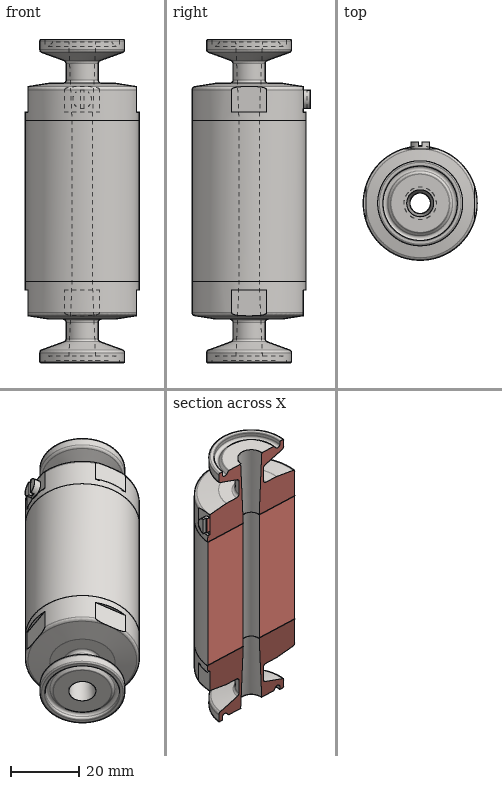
import cadquery as cq
import math

total_length = 95.1
body_radius = 33.6 / 2
bore_radius = 6.0 / 2

flange_rim_depth = 3.6
shoulder_depth = 12.8
shoulder_corner_depth = 14.0
flat_end_depth = 21.4
cap_length = 23.9

flange_radius = 25.0 / 2
flange_back_angle = 20.0
neck_radius = 9.5 / 2
mouth_radius = 8.0 / 2
flange_front_fillet = 0.5
flange_back_fillet = 0.95
neck_fillet = 0.9

groove_outer_radius = 21.9 / 2
groove_inner_radius = 17.3 / 2
groove_depth = 2.1
sealing_face_recess = 0.8
groove_flank_angle = 40.0
groove_edge_fillet = 0.2

shoulder_flat_radius = 9.6
shoulder_fillet = 0.95
flat_distance = 32.0 / 2

screw_radius = 5.5 / 2
screw_tip_y = 34.8 - body_radius
screw_depth = 17.6
slot_width = 0.95
slot_depth = 1.0


def circle_at(solid, radius, z):
    """Circular edges around the Z axis with the given radius and height."""
    tolerance = 0.01
    return solid.edges("%CIRCLE").filter(
        lambda edge: abs(edge.radius() - radius) < tolerance
        and abs(edge.Center().z - z) < tolerance
    )


def cap_blank(face_z):
    """Flange, neck, shoulder and side, turned around a tapered bore."""
    back_drop = (flange_radius - neck_radius) * math.tan(math.radians(flange_back_angle))
    rim_z = face_z - flange_rim_depth
    shoulder_z = face_z - shoulder_depth
    corner_z = face_z - shoulder_corner_depth
    seam_z = face_z - cap_length
    blank = (
        cq.Workplane("XZ")
        .moveTo(mouth_radius, face_z)
        .lineTo(flange_radius, face_z)
        .lineTo(flange_radius, rim_z)
        .lineTo(neck_radius, rim_z - back_drop)
        .lineTo(neck_radius, shoulder_z)
        .lineTo(shoulder_flat_radius, shoulder_z)
        .lineTo(body_radius, corner_z)
        .lineTo(body_radius, seam_z)
        .lineTo(bore_radius, seam_z)
        .close()
        .revolve(360, (0, 0, 0), (0, 1, 0))
    )
    fillets = [
        (flange_radius, face_z, flange_front_fillet),
        (flange_radius, rim_z, flange_back_fillet),
        (neck_radius, rim_z - back_drop, neck_fillet),
        (neck_radius, shoulder_z, neck_fillet),
        (body_radius, corner_z, shoulder_fillet),
    ]
    for radius, z, fillet in fillets:
        blank = circle_at(blank, radius, z).fillet(fillet)
    return blank


def cut_gasket_groove(cap, face_z):
    """Straight outer wall, round floor and sloping inner flank, up to the recessed sealing face."""
    sealing_z = face_z - sealing_face_recess
    flank_height = groove_depth - sealing_face_recess
    angle = math.radians(groove_flank_angle)
    floor_radius = (
        groove_outer_radius - groove_inner_radius - flank_height * math.tan(angle)
    ) / (1 + math.cos(angle) - math.tan(angle) * (1 - math.sin(angle)))
    center_r = groove_outer_radius - floor_radius
    center_z = face_z - groove_depth + floor_radius
    flank_foot = (
        center_r - floor_radius * math.cos(angle),
        center_z - floor_radius * math.sin(angle),
    )
    groove = (
        cq.Workplane("XZ")
        .moveTo(0, face_z)
        .lineTo(groove_outer_radius, face_z)
        .lineTo(groove_outer_radius, center_z)
        .threePointArc((center_r, face_z - groove_depth), flank_foot)
        .lineTo(groove_inner_radius, sealing_z)
        .lineTo(0, sealing_z)
        .close()
        .revolve(360, (0, 0, 0), (0, 1, 0))
    )
    cap = cap.cut(groove)
    cap = circle_at(cap, groove_inner_radius, sealing_z).fillet(groove_edge_fillet)
    return circle_at(cap, groove_outer_radius, face_z).fillet(groove_edge_fillet)


def cut_side_flats(cap, face_z):
    """Flats on the -X, +Y and +X sides, open toward the shoulder."""
    cutter_thickness = body_radius
    cutter = cq.Workplane("XY").box(
        cutter_thickness, 2 * body_radius, flat_end_depth, centered=(False, True, False)
    ).translate((flat_distance, 0, face_z - flat_end_depth))
    for turn in (0, 90, 180):
        cap = cap.cut(cutter.rotate((0, 0, 0), (0, 0, 1), turn))
    return cap


def make_cap():
    """Upper end cap."""
    face_z = total_length / 2
    cap = cap_blank(face_z)
    cap = cut_gasket_groove(cap, face_z)
    return cut_side_flats(cap, face_z)


def make_housing():
    """Plain tube between the two caps."""
    length = total_length - 2 * cap_length
    return (
        cq.Workplane("XY", origin=(0, 0, -length / 2))
        .circle(body_radius)
        .circle(bore_radius)
        .extrude(length)
    )


def make_screw():
    """Slotted screw head seated on the +Y flat, slot along Z."""
    axis_z = total_length / 2 - screw_depth
    head_height = screw_tip_y - flat_distance
    head = (
        cq.Workplane("XZ", origin=(0, screw_tip_y, axis_z))
        .circle(screw_radius)
        .extrude(head_height)
    )
    slot = cq.Workplane("XY").box(slot_width, 2 * slot_depth, 2 * screw_radius)
    return head.cut(slot.translate((0, screw_tip_y, axis_z)))


upper_cap = make_cap()
caps = [upper_cap, upper_cap.mirror("XY")]
housing = make_housing()
screw = make_screw()

result = cq.Compound.makeCompound([housing.val(), *[cap.val() for cap in caps], screw.val()])